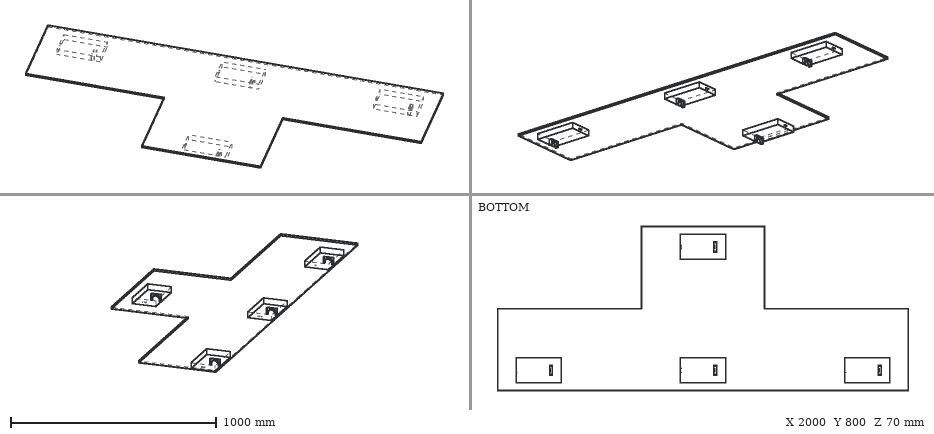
import cadquery as cq

top_length = 2000.0
top_depth = 800.0
arm_depth = 400.0
stem_width = 600.0
top_thickness = 10.0

box_length = 220.0
box_width = 122.0
box_height = 30.0
box_edge_distance = 100.0
box_spacing = 800.0

box_slot_width = 18.0
foot_slot_width = 15.0
slot_height = 2.0
slot_depth = 5.0

foot_offset = 60.0
foot_length = 15.0
foot_width = 50.0
foot_height = 30.0
arch_radius = 20.0
arch_leg_height = 5.0

box_top = -top_thickness
box_bottom = box_top - box_height
arch_height = arch_leg_height + arch_radius
foot_bottom = box_bottom - foot_height
row_y = top_depth / 2 - box_edge_distance
unit_places = [(-box_spacing, row_y), (0, row_y), (box_spacing, row_y), (0, -row_y)]


def make_table_top():
    """T-shaped plate: a cross arm along +Y and a central stem toward -Y."""
    back_y = top_depth / 2
    arm_front_y = back_y - arm_depth
    return (
        cq.Workplane("XY", origin=(0, 0, -top_thickness))
        .moveTo(-top_length / 2, back_y)
        .lineTo(top_length / 2, back_y)
        .lineTo(top_length / 2, arm_front_y)
        .lineTo(stem_width / 2, arm_front_y)
        .lineTo(stem_width / 2, -back_y)
        .lineTo(-stem_width / 2, -back_y)
        .lineTo(-stem_width / 2, arm_front_y)
        .lineTo(-top_length / 2, arm_front_y)
        .close()
        .extrude(top_thickness)
    )


def make_slot(face_x, y, z, width):
    """Shallow slot cutter that goes in +X from the centre of the slot's mouth."""
    return cq.Workplane("YZ", origin=(face_x, y, z)).rect(width, slot_height).extrude(slot_depth)


def make_box(x, y):
    """Box centred on (x, y), with a narrow slot halfway up its -X end."""
    body = cq.Workplane("XY", origin=(x, y, box_bottom)).rect(box_length, box_width).extrude(box_height)
    slot_z = box_bottom + box_height / 2
    return body.cut(make_slot(x - box_length / 2, y, slot_z, box_slot_width))


def make_foot(x, y):
    """Foot under the +X part of a box: an arch opening downward, with a slot above its crown."""
    half_width = foot_width / 2
    face_x = x + foot_offset - foot_length / 2
    body = (
        cq.Workplane("YZ", origin=(face_x, y, foot_bottom))
        .moveTo(-half_width, foot_height)
        .lineTo(half_width, foot_height)
        .lineTo(half_width, 0)
        .lineTo(arch_radius, 0)
        .lineTo(arch_radius, arch_leg_height)
        .threePointArc((0, arch_height), (-arch_radius, arch_leg_height))
        .lineTo(-arch_radius, 0)
        .lineTo(-half_width, 0)
        .close()
        .extrude(foot_length)
    )
    slot_z = foot_bottom + (arch_height + foot_height) / 2
    return body.cut(make_slot(face_x, y, slot_z, foot_slot_width))


table_top = make_table_top()
boxes = [make_box(x, y) for x, y in unit_places]
feet = [make_foot(x, y) for x, y in unit_places]

result = cq.Compound.makeCompound(
    [table_top.val(), *[box.val() for box in boxes], *[foot.val() for foot in feet]]
)